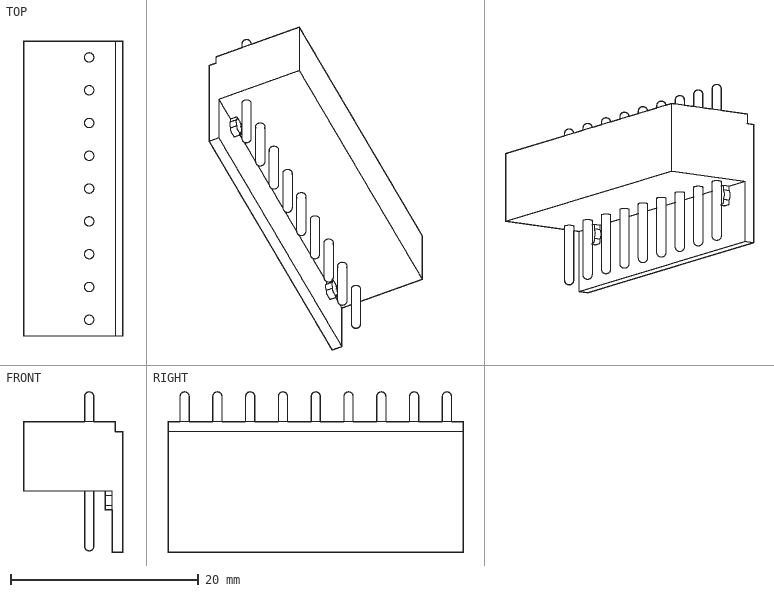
import cadquery as cq
import math

pin_count = 9
pin_pitch = 3.5
pin_diameter = 1.0
pin_x = 7.0

body_length = pin_count * pin_pitch
body_depth = 10.6
block_height = 7.4
wall_thickness = 1.15
wall_drop = 6.55
step_depth = 0.8
step_height = 1.05

pin_projection = 3.2
pin_top_z = block_height + pin_projection
pin_end_clearance = 0.15
pin_bottom_z = pin_end_clearance - wall_drop

key_thickness = 0.75
key_height = 2.0
key_half_width = 0.52
key_end_inset = pin_pitch
key_corner_radius = 0.2
bulge_center_z = -key_height / 2
bulge_half_width = 0.71
bulge_shoulder_half_width = 0.65
bulge_arc_half_height = 0.25
bulge_half_height = 0.52

overlap = 0.2


def make_housing():
    """Block, stepped rear top edge and hanging wall as one extruded profile."""
    wall_x = body_depth - wall_thickness
    outline = [
        (0, 0),
        (wall_x, 0),
        (wall_x, -wall_drop),
        (body_depth, -wall_drop),
        (body_depth, block_height - step_height),
        (body_depth - step_depth, block_height - step_height),
        (body_depth - step_depth, block_height),
        (0, block_height),
    ]
    profile = cq.Workplane("XZ").polyline(outline).close()
    return profile.extrude(body_length / 2, both=True)


def make_pin(y):
    """Round pin with hemispherical ends, revolved about its own axis."""
    radius = pin_diameter / 2
    arc_offset = radius * math.sqrt(0.5)
    upper_center_z = pin_top_z - radius
    lower_center_z = pin_bottom_z + radius
    profile = (
        cq.Workplane("XZ", origin=(pin_x, y, 0))
        .moveTo(0, pin_bottom_z)
        .threePointArc((arc_offset, lower_center_z - arc_offset), (radius, lower_center_z))
        .lineTo(radius, upper_center_z)
        .threePointArc((arc_offset, upper_center_z + arc_offset), (0, pin_top_z))
        .close()
    )
    return profile.revolve(360, (0, 0, 0), (0, 1, 0))


def make_key(y):
    """Flat key with a rounded bulge on both sides and rounded lower corners."""
    key_x = body_depth - wall_thickness - key_thickness
    arc_top_z = bulge_center_z + bulge_arc_half_height
    arc_bottom_z = bulge_center_z - bulge_arc_half_height
    profile = (
        cq.Workplane("YZ", origin=(key_x, y, 0))
        .moveTo(-key_half_width, overlap)
        .lineTo(key_half_width, overlap)
        .lineTo(key_half_width, bulge_center_z + bulge_half_height)
        .lineTo(bulge_shoulder_half_width, arc_top_z)
        .threePointArc((bulge_half_width, bulge_center_z), (bulge_shoulder_half_width, arc_bottom_z))
        .lineTo(key_half_width, bulge_center_z - bulge_half_height)
        .lineTo(key_half_width, -key_height)
        .lineTo(-key_half_width, -key_height)
        .lineTo(-key_half_width, bulge_center_z - bulge_half_height)
        .lineTo(-bulge_shoulder_half_width, arc_bottom_z)
        .threePointArc((-bulge_half_width, bulge_center_z), (-bulge_shoulder_half_width, arc_top_z))
        .lineTo(-key_half_width, bulge_center_z + bulge_half_height)
        .close()
    )
    key = profile.extrude(key_thickness + overlap)
    lower_corners = key.faces("<Z").edges("|X")
    return lower_corners.fillet(key_corner_radius)


result = make_housing()

key_y = body_length / 2 - key_end_inset
for y in (-key_y, key_y):
    result = result.union(make_key(y))

first_pin_y = -(pin_count - 1) / 2 * pin_pitch
for index in range(pin_count):
    result = result.union(make_pin(first_pin_y + index * pin_pitch))